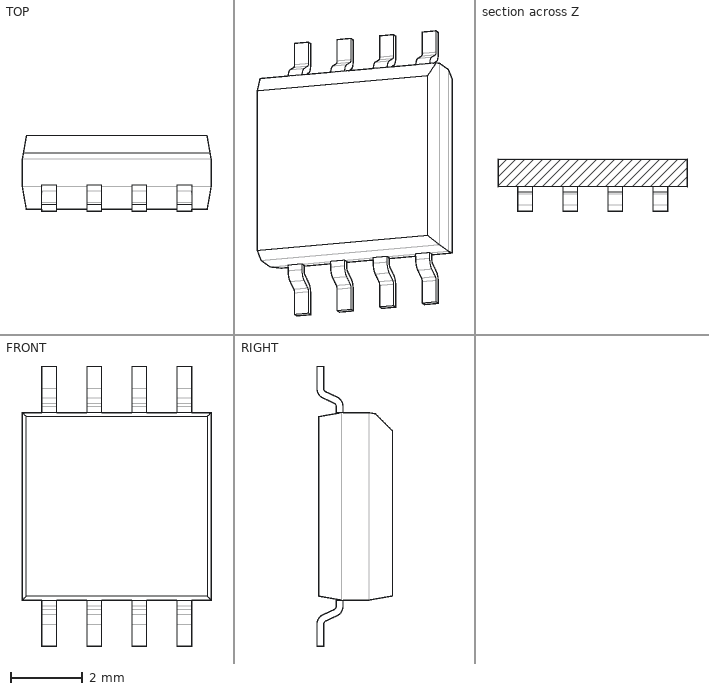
import cadquery as cq
import math

HOUSING_WIDTH = 5.31
HOUSING_HEIGHT = 5.27
HOUSING_FRONT = 0.055
BAND_FRONT = 0.69
BAND_BACK = 1.46
HOUSING_BACK = 2.13
DRAFT_ANGLE = 10.0
CHAMFER = 0.49

LEADS_PER_SIDE = 4
LEAD_PITCH = 1.27
LEAD_WIDTH = 0.42
LEAD_THICKNESS = 0.2
LEAD_TIP_HEIGHT = 3.935
FOOT_LENGTH = 0.62
SHOULDER_FRONT = 0.54
INNER_BEND_RADIUS = 0.1
BEND_ANGLE = 65.0


def make_drafted_half(band_face, outer_face):
    """Half of the housing that narrows from the band out to its flat outer face."""
    depth = abs(outer_face - band_face)
    inset = depth * math.tan(math.radians(DRAFT_ANGLE))
    plane = cq.Plane(origin=(0, band_face, 0), xDir=(1, 0, 0), normal=(0, -1, 0))
    return (
        cq.Workplane(plane)
        .rect(HOUSING_WIDTH, HOUSING_HEIGHT)
        .workplane(offset=band_face - outer_face)
        .rect(HOUSING_WIDTH - 2 * inset, HOUSING_HEIGHT - 2 * inset)
        .loft(ruled=True)
    )


def make_chamfer_cutter():
    """Wedge that removes the top back edge of the housing at 45 degrees."""
    top = HOUSING_HEIGHT / 2
    start_y = HOUSING_BACK - CHAMFER
    start_z = top - (start_y - BAND_BACK) * math.tan(math.radians(DRAFT_ANGLE))
    return (
        cq.Workplane("YZ")
        .moveTo(start_y, start_z)
        .line(CHAMFER, -CHAMFER)
        .lineTo(HOUSING_BACK, start_z)
        .close()
        .extrude(HOUSING_WIDTH / 2, both=True)
    )


def make_housing():
    band = cq.Workplane("XY").box(
        HOUSING_WIDTH, BAND_BACK - BAND_FRONT, HOUSING_HEIGHT
    ).translate((0, (BAND_FRONT + BAND_BACK) / 2, 0))
    front_half = make_drafted_half(BAND_FRONT, HOUSING_FRONT)
    back_half = make_drafted_half(BAND_BACK, HOUSING_BACK)
    return band.union(front_half).union(back_half).cut(make_chamfer_cutter())


def make_top_lead(center_x):
    """Z-bent strip: foot on the mounting plane, sloped web, shoulder ending flat on the band."""
    bend = math.radians(BEND_ANGLE)
    outer_radius = INNER_BEND_RADIUS + LEAD_THICKNESS
    middle_radius = INNER_BEND_RADIUS + LEAD_THICKNESS / 2
    web_length = (SHOULDER_FRONT - 2 * middle_radius * (1 - math.cos(bend))) / math.sin(bend)
    web_y = web_length * math.sin(bend)
    web_z = -web_length * math.cos(bend)

    foot_bend_z = LEAD_TIP_HEIGHT - FOOT_LENGTH
    shoulder_bend_z = foot_bend_z + web_z - 2 * middle_radius * math.sin(bend)
    foot_bend_y = outer_radius
    shoulder_bend_y = SHOULDER_FRONT - INNER_BEND_RADIUS
    root_z = HOUSING_HEIGHT / 2

    def on_foot_bend(radius, angle):
        return (foot_bend_y - radius * math.cos(angle), foot_bend_z - radius * math.sin(angle))

    def on_shoulder_bend(radius, angle):
        return (
            shoulder_bend_y + radius * math.cos(angle),
            shoulder_bend_z + radius * math.sin(angle),
        )

    return (
        cq.Workplane("YZ", origin=(center_x - LEAD_WIDTH / 2, 0, 0))
        .moveTo(0, LEAD_TIP_HEIGHT)
        .lineTo(0, foot_bend_z)
        .threePointArc(on_foot_bend(outer_radius, bend / 2), on_foot_bend(outer_radius, bend))
        .line(web_y, web_z)
        .threePointArc(
            on_shoulder_bend(INNER_BEND_RADIUS, bend / 2), on_shoulder_bend(INNER_BEND_RADIUS, 0)
        )
        .lineTo(SHOULDER_FRONT, root_z)
        .line(LEAD_THICKNESS, 0)
        .lineTo(SHOULDER_FRONT + LEAD_THICKNESS, shoulder_bend_z)
        .threePointArc(
            on_shoulder_bend(outer_radius, bend / 2), on_shoulder_bend(outer_radius, bend)
        )
        .line(-web_y, -web_z)
        .threePointArc(
            on_foot_bend(INNER_BEND_RADIUS, bend / 2), on_foot_bend(INNER_BEND_RADIUS, 0)
        )
        .lineTo(LEAD_THICKNESS, LEAD_TIP_HEIGHT)
        .close()
        .extrude(LEAD_WIDTH)
    )


def make_leads():
    """All leads as separate solids, each bottom lead mirroring the top one above it."""
    leads = []
    for index in range(LEADS_PER_SIDE):
        center_x = (index - (LEADS_PER_SIDE - 1) / 2) * LEAD_PITCH
        top_lead = make_top_lead(center_x)
        leads.append(top_lead)
        leads.append(top_lead.mirror("XY"))
    return leads


leads = make_leads()
housing = make_housing()

result = cq.Compound.makeCompound([housing.solids().val(), *[lead.val() for lead in leads]])